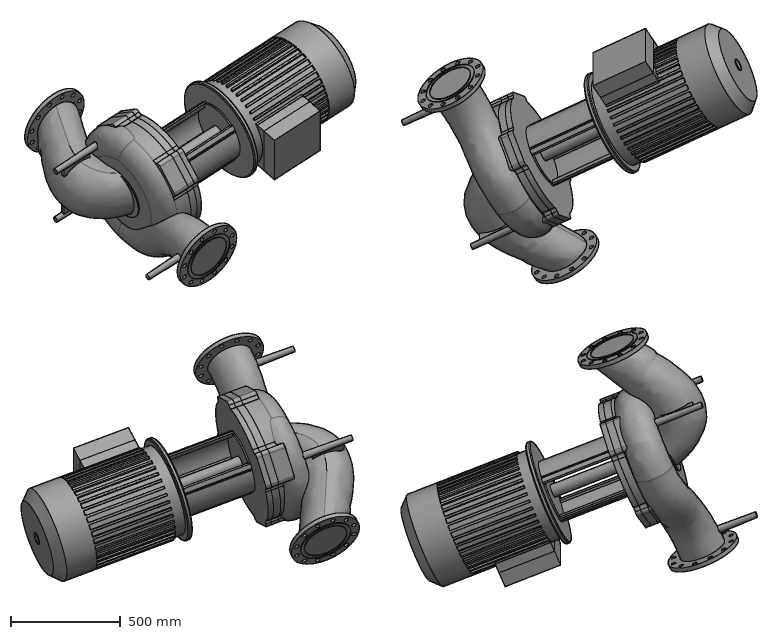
import cadquery as cq
import math


PORT_REACH = 550.0
FLANGE_RADIUS = 170.0
FLANGE_THICKNESS = 21.0
FACE_RADIUS = 125.0
FACE_HEIGHT = 4.0
RECESS_RADIUS = 106.0
RECESS_DEPTH = 4.0
FLANGE_BOLT_COUNT = 12
FLANGE_BOLT_CIRCLE_RADIUS = 147.5
FLANGE_BOLT_RADIUS = 11.0
PIPE_RADIUS = 110.0
PIPE_END = PORT_REACH - FACE_HEIGHT - FLANGE_THICKNESS

BODY_RADIUS = 294.0
COVER_BACK = 174.0
COVER_FRONT = 147.0
RING_FRONT = 111.0
RIM_FRONT = 32.0
FRONT_ROUNDING = 86.0
CASING_FRONT = RIM_FRONT - FRONT_ROUNDING
LUG_REACH = 309.0
LUG_WIDTH = 176.0
LUG_ROUNDING = 18.0
LUG_ROOT_ROUNDING = 16.0
LUG_ROOT_WIDTH = LUG_WIDTH + 2 * LUG_ROOT_ROUNDING
LUG_ROOT_REACH = math.sqrt((BODY_RADIUS + LUG_ROOT_ROUNDING) ** 2 - (LUG_ROOT_WIDTH / 2) ** 2)
LUG_ANGLES = (45.0, 135.0, 225.0, 315.0)
INLET_RING_RADIUS = 124.0
INLET_RING_HEIGHT = 6.0

VOLUTE_START_RADIUS = FRONT_ROUNDING - 1.0
VOLUTE_END_RADIUS = 94.0
VOLUTE_START_CENTER = BODY_RADIUS - FRONT_ROUNDING
VOLUTE_END_CENTER = 259.0
VOLUTE_END_Y = 22.0
VOLUTE_START_ANGLE = 90.0
VOLUTE_SWEEP = 180.0
VOLUTE_STEPS = 6

CLIMB_ANGLE = math.radians(47.0)
FIRST_BEND_RADIUS = VOLUTE_END_CENTER
SECOND_BEND_RADIUS = 392.0
GUIDE_OFFSET = 1000.0

SUCTION_SECTIONS = (
    (-PIPE_END, 0.0, 0.0, PIPE_RADIUS, PIPE_RADIUS),
    (-400.0, -64.0, -14.0, 114.0, 125.0),
    (-279.0, -126.0, -24.0, 123.0, 134.0),
    (-195.0, -148.0, 0.0, 136.0, 137.0),
    (-55.0, -102.0, 45.0, 120.0, 131.0),
    (0.0, -14.0, 75.0, 106.0, 125.0),
)

FOOT_TIP_Y = -293.06
FOOT_TIP_RADIUS = 14.0
FOOT_ROOT_RADIUS = 18.0
SUCTION_FOOT_X = -185.0
SUCTION_FOOT_Z = 167.0
SUCTION_FOOT_ROOT_Y = -20.0
WEB_THICKNESS = 18.0
WEB_BACK = -94.0
WEB_FRONT = -249.0
WEB_INNER_Z = 106.0
DISCHARGE_FOOT_X = 463.0
DISCHARGE_FOOT_ROOT_Y = -80.0

MOTOR_FRONT = 530.0
MOTOR_FLANGE_RADIUS = 249.0
MOTOR_FLANGE_BACK = 553.0
MOTOR_FLANGE_CHAMFER = 5.0
MOTOR_CORE_RADIUS = 217.0
MOTOR_RADIUS = 226.5
FINS_FRONT = 606.0
FINS_BACK = 998.0
FIN_COUNT = 40
FIN_WIDTH = 11.0
COWL_SHOULDER = 1149.0
COWL_BACK = 1196.0
COWL_END_RADIUS = 181.0
COWL_BOSS_RADIUS = 28.0
MOTOR_BACK = 1200.0

BOX_SEAT = MOTOR_RADIUS
BOX_REACH = 300.0
BOX_HEIGHT = 274.0
BOX_FRONT = FINS_FRONT
BOX_BACK = 881.0

LANTERN_DISC_RADIUS = 145.0
LANTERN_DISC_THICKNESS = 8.0
POST_RADIUS = 148.0
POST_WALL = 12.0
POST_HALF_HEIGHT = 92.0
RAIL_INNER_X = 88.0
RAIL_OUTER_X = 113.0
RAIL_TOP_Z = 119.0
RAIL_CHAMFER = 16.0
SHAFT_RADIUS = 30.5


def cylinder(radius, y_front, y_back):
    """A solid cylinder on the pump axis."""
    return cq.Workplane("XZ", origin=(0, y_front, 0)).circle(radius).extrude(y_front - y_back)


def box(x_range, y_range, z_range):
    """A box between two limits on each axis."""
    low, high = zip(x_range, y_range, z_range)
    size = [b - a for a, b in zip(low, high)]
    return cq.Workplane("XY").box(*size, centered=False).translate(low)


def section(center, across, normal, half_across, half_other):
    """A closed oval outline; `across` is the direction of its first half width."""
    plane = cq.Plane(origin=center, xDir=across, normal=normal)
    return cq.Workplane(plane).ellipse(half_across, half_other).wires().val()


def loft(sections):
    """A smooth solid through a row of outlines."""
    return cq.Workplane(cq.Solid.makeLoft(sections))


def between(start, end, fraction):
    return start + (end - start) * fraction


def lug(y_front, y_back):
    """A flat-ended lug towards +X with rounded corners and hollow-rounded roots."""
    head = (
        box((0, LUG_REACH), (y_front, y_back), (-LUG_WIDTH / 2, LUG_WIDTH / 2))
        .edges(">X and |Y")
        .fillet(LUG_ROUNDING)
    )
    root = box((0, LUG_ROOT_REACH), (y_front, y_back), (-LUG_ROOT_WIDTH / 2, LUG_ROOT_WIDTH / 2))
    hollow = cylinder(LUG_ROOT_ROUNDING, y_front, y_back)
    for z in (-LUG_ROOT_WIDTH / 2, LUG_ROOT_WIDTH / 2):
        root = root.cut(hollow.translate((LUG_ROOT_REACH, 0, z)))
    return head.union(root)


def lugged_disc(y_front, y_back):
    """A disc of the casing outline, with four lugs on the diagonals."""
    disc = cylinder(BODY_RADIUS, y_front, y_back)
    for angle in LUG_ANGLES:
        disc = disc.union(lug(y_front, y_back).rotate((0, 0, 0), (0, 1, 0), angle))
    return disc


def front_shell():
    """The front of the casing, rounded from its rim to its flat front face."""
    return (
        cq.Workplane("XY")
        .moveTo(0, RIM_FRONT)
        .lineTo(BODY_RADIUS, RIM_FRONT)
        .radiusArc((BODY_RADIUS - FRONT_ROUNDING, CASING_FRONT), FRONT_ROUNDING)
        .lineTo(0, CASING_FRONT)
        .close()
        .revolve(360, (0, 0, 0), (0, 1, 0))
    )


def volute():
    """The spiral channel from the top of the casing round -X to its bottom."""
    sections = []
    for step in range(VOLUTE_STEPS + 1):
        fraction = step / VOLUTE_STEPS
        turn = math.radians(VOLUTE_START_ANGLE + VOLUTE_SWEEP * fraction)
        distance = between(VOLUTE_START_CENTER, VOLUTE_END_CENTER, fraction)
        radius = between(VOLUTE_START_RADIUS, VOLUTE_END_RADIUS, fraction)
        y = between(RIM_FRONT, VOLUTE_END_Y, fraction)
        center = (distance * math.cos(turn), y, distance * math.sin(turn))
        heading = (-math.sin(turn), 0, math.cos(turn))
        sections.append(section(center, (0, 1, 0), heading, radius, radius))
    return loft(sections)


def discharge_pipe():
    """The S-shaped pipe from the volute end up to the discharge flange."""
    across = math.sin(CLIMB_ANGLE)
    rise = 1 - math.cos(CLIMB_ANGLE)
    stations = (
        (0, -VOLUTE_END_CENTER),
        (FIRST_BEND_RADIUS * across, FIRST_BEND_RADIUS * rise - VOLUTE_END_CENTER),
        (PIPE_END - SECOND_BEND_RADIUS * across, -SECOND_BEND_RADIUS * rise),
        (PIPE_END, 0),
    )
    points = [cq.Vector(x, between(VOLUTE_END_Y, 0, x / PIPE_END), z) for x, z in stations]
    level = cq.Vector(1, 0, 0)
    climb = cq.Vector(math.cos(CLIMB_ANGLE), 0, math.sin(CLIMB_ANGLE))
    path = cq.Edge.makeSpline(points, tangents=[level, climb, climb, level])
    start = section(points[0], (0, 1, 0), level, VOLUTE_END_RADIUS, VOLUTE_END_RADIUS)
    end = section(points[-1], (0, 1, 0), level, PIPE_RADIUS, PIPE_RADIUS)
    guide = path.translate(cq.Vector(0, GUIDE_OFFSET, 0))
    return cq.Workplane(cq.Solid.sweep_multi([start, end], path, mode=guide))


def suction_pipe():
    """The widening pipe from the suction flange, and the oval elbow into the casing front."""
    sections = []
    for x, y, degrees, half_width, half_height in SUCTION_SECTIONS:
        turn = math.radians(degrees)
        heading = (math.cos(turn), math.sin(turn), 0)
        across = (-math.sin(turn), math.cos(turn), 0)
        sections.append(section((x, y, 0), across, heading, half_width, half_height))
    return loft(sections)


def pipe_flange():
    """A flange with a raised face, facing +X."""
    return (
        cq.Workplane("YZ", origin=(PIPE_END, 0, 0))
        .circle(FLANGE_RADIUS)
        .extrude(FLANGE_THICKNESS)
        .faces(">X")
        .workplane()
        .polarArray(FLANGE_BOLT_CIRCLE_RADIUS, 180 / FLANGE_BOLT_COUNT, 360, FLANGE_BOLT_COUNT)
        .circle(FLANGE_BOLT_RADIUS)
        .cutThruAll()
        .faces(">X")
        .workplane(origin=(0, 0, 0))
        .circle(FACE_RADIUS)
        .extrude(FACE_HEIGHT)
        .faces(">X")
        .workplane(origin=(0, 0, 0))
        .circle(RECESS_RADIUS)
        .cutBlind(-RECESS_DEPTH)
    )


def make_casing(ring, feet):
    """The pump casing with both pipes, flat under the ring, with sockets for the feet."""
    casing = lugged_disc(RIM_FRONT, RING_FRONT).union(front_shell())
    casing = casing.union(volute()).union(discharge_pipe())
    casing = casing.union(cylinder(INLET_RING_RADIUS, CASING_FRONT - INLET_RING_HEIGHT, RIM_FRONT))
    casing = casing.union(suction_pipe())
    flange = pipe_flange()
    casing = casing.union(flange).union(flange.mirror("YZ"))
    for seated_body in [ring, *feet]:
        casing = casing.cut(seated_body)
    return casing


def foot_rod(x, z, root_y):
    """A round rod that tapers towards its free end."""
    length = root_y - FOOT_TIP_Y
    start = cq.Workplane("XZ", origin=(x, root_y, z)).circle(FOOT_ROOT_RADIUS)
    return start.workplane(offset=length).circle(FOOT_TIP_RADIUS).loft()


def make_suction_foot():
    """The upper suction foot, tied to the elbow by a flat web."""
    rod = foot_rod(SUCTION_FOOT_X, SUCTION_FOOT_Z, SUCTION_FOOT_ROOT_Y)
    web = box(
        (SUCTION_FOOT_X - WEB_THICKNESS / 2, SUCTION_FOOT_X + WEB_THICKNESS / 2),
        (WEB_FRONT, WEB_BACK),
        (WEB_INNER_Z, SUCTION_FOOT_Z),
    )
    return rod.union(web)


def make_discharge_foot():
    return foot_rod(DISCHARGE_FOOT_X, 0, DISCHARGE_FOOT_ROOT_Y)


def make_lantern():
    """Two end discs joined by two curved posts with rails along their edges."""
    front = COVER_BACK
    back = MOTOR_FRONT
    posts = cylinder(POST_RADIUS, front, back).cut(cylinder(POST_RADIUS - POST_WALL, front, back))
    window = (-POST_HALF_HEIGHT, POST_HALF_HEIGHT)
    posts = posts.intersect(box((-POST_RADIUS, POST_RADIUS), (front, back), window))
    lantern = posts.union(cylinder(LANTERN_DISC_RADIUS, front, front + LANTERN_DISC_THICKNESS))
    lantern = lantern.union(cylinder(LANTERN_DISC_RADIUS, back - LANTERN_DISC_THICKNESS, back))
    rail = (
        box((RAIL_INNER_X, RAIL_OUTER_X), (front, back), (POST_HALF_HEIGHT, RAIL_TOP_Z))
        .edges(">X and >Z")
        .chamfer(RAIL_CHAMFER)
    )
    right_rails = rail.union(rail.mirror("XY"))
    return lantern.union(right_rails).union(right_rails.mirror("YZ"))


def make_shaft():
    return cylinder(
        SHAFT_RADIUS, COVER_BACK + LANTERN_DISC_THICKNESS, MOTOR_FRONT - LANTERN_DISC_THICKNESS
    )


def make_motor():
    """The finned motor with its front flange, the cowl at its back and the terminal box seat."""
    motor = cylinder(MOTOR_FLANGE_RADIUS, MOTOR_FRONT, MOTOR_FLANGE_BACK)
    motor = motor.edges().chamfer(MOTOR_FLANGE_CHAMFER)
    motor = motor.union(cylinder(MOTOR_CORE_RADIUS, MOTOR_FLANGE_BACK, FINS_BACK))
    fin = box((0, MOTOR_RADIUS), (FINS_FRONT, FINS_BACK), (-FIN_WIDTH / 2, FIN_WIDTH / 2))
    fins = fin
    for index in range(1, FIN_COUNT):
        fins = fins.union(fin.rotate((0, 0, 0), (0, 1, 0), index * 360 / FIN_COUNT))
    fins = fins.intersect(cylinder(MOTOR_RADIUS, FINS_FRONT, FINS_BACK))
    cowl = (
        cq.Workplane("XY")
        .moveTo(0, FINS_BACK)
        .lineTo(MOTOR_RADIUS, FINS_BACK)
        .lineTo(MOTOR_RADIUS, COWL_SHOULDER)
        .lineTo(COWL_END_RADIUS, COWL_BACK)
        .lineTo(COWL_BOSS_RADIUS, COWL_BACK)
        .lineTo(COWL_BOSS_RADIUS, MOTOR_BACK)
        .lineTo(0, MOTOR_BACK)
        .close()
        .revolve(360, (0, 0, 0), (0, 1, 0))
    )
    seat = box((0, BOX_SEAT), (BOX_FRONT, BOX_BACK), (-BOX_HEIGHT / 2, BOX_HEIGHT / 2))
    return motor.union(fins).union(cowl).union(seat)


def make_terminal_box():
    """A plain box on the seat at the +X side of the motor."""
    z_range = (-BOX_HEIGHT / 2, BOX_HEIGHT / 2)
    return box((BOX_SEAT, BOX_REACH), (BOX_FRONT, BOX_BACK), z_range)


upper_foot = make_suction_foot()
lower_foot = upper_foot.mirror("XY")
discharge_foot = make_discharge_foot()
feet = [upper_foot, lower_foot, discharge_foot]
ring = lugged_disc(RING_FRONT, COVER_FRONT)
casing = make_casing(ring, feet)
cover = lugged_disc(COVER_FRONT, COVER_BACK)
lantern = make_lantern()
shaft = make_shaft()
motor = make_motor()
terminal_box = make_terminal_box()

bodies = [casing, ring, cover, lantern, shaft, motor, terminal_box, *feet]
result = cq.Compound.makeCompound([body.val() for body in bodies])